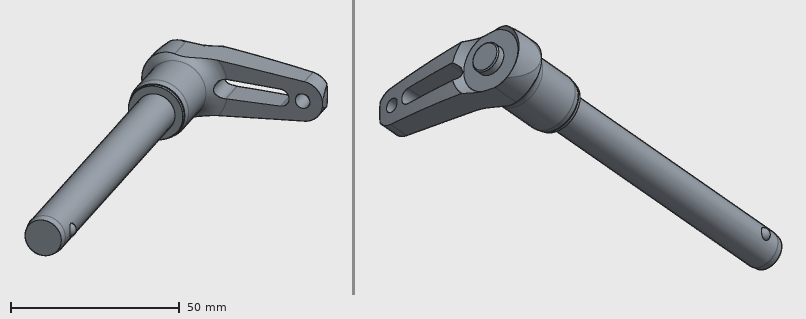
import cadquery as cq
import math

total_length = 135.7

pin_radius = 6.1
tip_radius = 5.7
tip_length = 2.5
ball_radius = 2.2
ball_reach = 7.3
ball_y = -127.3

button_radius = 4.9
button_chamfer = 0.4

collar_radius = 9.2
collar_taper_radius = 8.8
collar_lip_radius = 8.5
collar_taper_y = -31.6
collar_lip_y = -33.8
collar_end_y = -34.9

head_width = 20.2
head_radius = head_width / 2
back_radius = 12.6
head_center_x = head_radius - back_radius
grip_center_x = 38.1
grip_radius = 6.4
slot_start_x = 13.6
slot_start_radius = 3.1
slot_end_x = 31.1
slot_end_radius = 2.7
cord_hole_radius = 2.3

seat_radius = 10.2
seat_y = -2.8
crest_radius = 12.9
crest_y = -0.5
grip_top_mid = (28.2, -2.5)
grip_top_end = (43.5, -5.2)
reach = grip_center_x + grip_radius
grip_bottom_y = -12.3
flare_radius = 5.2
flare_top_y = -10.9
flare_end_y = flare_top_y - flare_radius

back_cone_base_y = -10.7
back_cone_top_radius = 11.4
back_cone_top_y = -1.8


def tapered_prism(x1, r1, x2, r2):
    """Prism along Y whose outline is two circles and their outer tangents."""
    cos_tangent = (r1 - r2) / (x2 - x1)
    sin_tangent = math.sqrt(1 - cos_tangent**2)
    tangent_x1, tangent_z1 = x1 + r1 * cos_tangent, r1 * sin_tangent
    tangent_x2, tangent_z2 = x2 + r2 * cos_tangent, r2 * sin_tangent
    return (
        cq.Workplane("XZ")
        .moveTo(tangent_x1, tangent_z1)
        .lineTo(tangent_x2, tangent_z2)
        .threePointArc((x2 + r2, 0), (tangent_x2, -tangent_z2))
        .lineTo(tangent_x1, -tangent_z1)
        .threePointArc((x1 - r1, 0), (tangent_x1, tangent_z1))
        .close()
        .extrude(total_length)
    )


def turned(profile):
    """Full revolution of a closed profile about the pin axis."""
    return profile.close().revolve(360, (0, 0, 0), (0, 1, 0))


def make_handle():
    """Turned section trimmed to the handle outline, then slotted and drilled."""
    arc_center_x = collar_radius + flare_radius
    arc_offset = flare_radius * math.sqrt(0.5)
    section = turned(
        cq.Workplane("XY")
        .moveTo(0, seat_y)
        .lineTo(seat_radius, seat_y)
        .lineTo(crest_radius, crest_y)
        .threePointArc(grip_top_mid, grip_top_end)
        .lineTo(reach, grip_bottom_y)
        .lineTo(arc_center_x, flare_top_y)
        .threePointArc(
            (arc_center_x - arc_offset, flare_end_y + arc_offset),
            (collar_radius, flare_end_y),
        )
        .lineTo(0, flare_end_y)
    )
    handle = section.intersect(
        tapered_prism(head_center_x, head_radius, grip_center_x, grip_radius)
    )

    back_slope = (back_radius - back_cone_top_radius) / (back_cone_top_y - back_cone_base_y)
    back_cone = turned(
        cq.Workplane("XY")
        .lineTo(back_cone_top_radius + back_slope * back_cone_top_y, 0)
        .lineTo(back_radius, back_cone_base_y)
        .lineTo(back_radius, flare_end_y)
        .lineTo(0, flare_end_y)
    )
    back_half = cq.Workplane("XY").box(
        total_length, total_length, total_length, centered=(False, True, True)
    ).translate((-total_length, 0, 0))
    handle = handle.cut(back_half.cut(back_cone))

    slot = tapered_prism(slot_start_x, slot_start_radius, slot_end_x, slot_end_radius)
    cord_hole = (
        cq.Workplane("XZ").center(grip_center_x, 0).circle(cord_hole_radius).extrude(total_length)
    )
    return handle.cut(slot).cut(cord_hole)


def make_spindle():
    """Button, stepped collar and pin as one turned body."""
    return turned(
        cq.Workplane("XY")
        .lineTo(button_radius - button_chamfer, 0)
        .lineTo(button_radius, -button_chamfer)
        .lineTo(button_radius, flare_end_y)
        .lineTo(collar_radius, flare_end_y)
        .lineTo(collar_radius, collar_taper_y)
        .lineTo(collar_taper_radius, collar_lip_y)
        .lineTo(collar_lip_radius, collar_lip_y)
        .lineTo(collar_lip_radius, collar_end_y)
        .lineTo(pin_radius, collar_end_y)
        .lineTo(pin_radius, tip_length - total_length)
        .lineTo(tip_radius, -total_length)
        .lineTo(0, -total_length)
    )


result = make_spindle().union(make_handle())
for side in (-1, 1):
    ball_x = side * (ball_reach - ball_radius)
    ball = cq.Workplane("XY").sphere(ball_radius).translate((ball_x, ball_y, 0))
    result = result.union(ball)